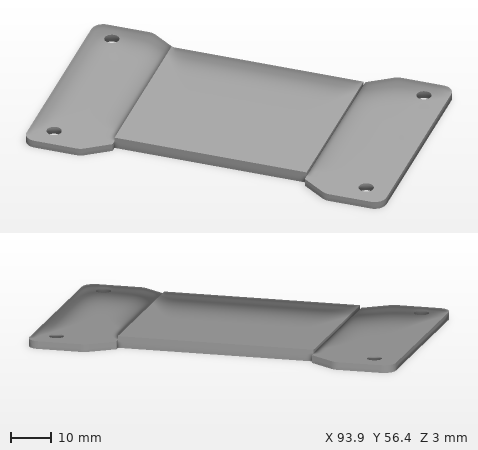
import cadquery as cq

length = 93.9
width = 56.4
plate_thickness = 2.0
total_height = 3.0

pad_length = 50.1
pad_width = 44.0

flange_inner_width = 46.95
bevel_length = 6.9
corner_radius = 3.1
bevel_radius = 3.1

hole_diameter = 3.8
hole_spacing_x = 81.4
hole_spacing_y = 44.7


def end_flange(side):
    """Flange at the -X (side=-1) or +X (side=1) end, bevelled towards the pad."""
    outer_x = side * length / 2
    inner_x = side * pad_length / 2
    bevel_x = inner_x + side * bevel_length
    outline = [
        (outer_x, -width / 2),
        (outer_x, width / 2),
        (bevel_x, width / 2),
        (inner_x, flange_inner_width / 2),
        (inner_x, -flange_inner_width / 2),
        (bevel_x, -width / 2),
    ]
    flange = cq.Workplane("XY").polyline(outline).close().extrude(plate_thickness)
    outer_end, inner_end = (">X", "<X") if side > 0 else ("<X", ">X")
    flange = flange.faces(outer_end).edges("|Z").fillet(corner_radius)
    for long_side in ("<Y", ">Y"):
        flange = flange.faces(long_side).edges(inner_end).fillet(bevel_radius)
    return flange


pad = cq.Workplane("XY").box(pad_length, pad_width, total_height, centered=(True, True, False))
body = pad.union(end_flange(-1)).union(end_flange(1))

holes = (
    cq.Workplane("XY")
    .rect(hole_spacing_x, hole_spacing_y, forConstruction=True)
    .vertices()
    .circle(hole_diameter / 2)
    .extrude(total_height)
)
result = body.cut(holes)